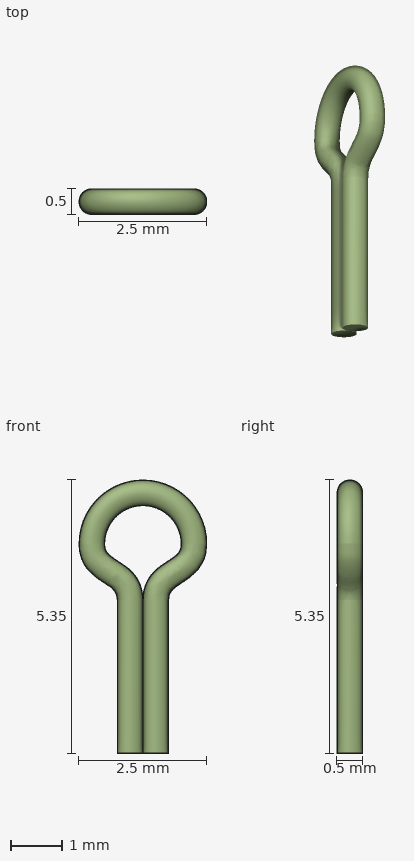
import cadquery as cq

wire_diameter = 0.5
leg_gap = 0.002
leg_length = 3.0
shoulder_height = 1.1
eye_radius = 1.0

leg_x = (wire_diameter + leg_gap) / 2
eye_center_z = leg_length + shoulder_height
eye_top_z = eye_center_z + eye_radius

UP = (0, 1)
DOWN = (0, -1)


def wire_centreline():
    """Hairpin path in the XZ plane: left leg, S-bend, half-circle eye, S-bend, right leg."""
    left_leg_top = (-leg_x, leg_length)
    left_eye_end = (-eye_radius, eye_center_z)
    right_eye_end = (eye_radius, eye_center_z)
    right_leg_top = (leg_x, leg_length)
    return (
        cq.Workplane("XZ")
        .moveTo(-leg_x, 0)
        .lineTo(*left_leg_top)
        .spline([left_eye_end], tangents=[UP, UP], includeCurrent=True)
        .threePointArc((0, eye_top_z), right_eye_end)
        .spline([right_leg_top], tangents=[DOWN, DOWN], includeCurrent=True)
        .lineTo(leg_x, 0)
    )


def bent_wire():
    """Round wire swept along the hairpin path, starting at the foot of the left leg."""
    section = cq.Workplane("XY").center(-leg_x, 0).circle(wire_diameter / 2)
    return section.sweep(wire_centreline())


result = bent_wire()